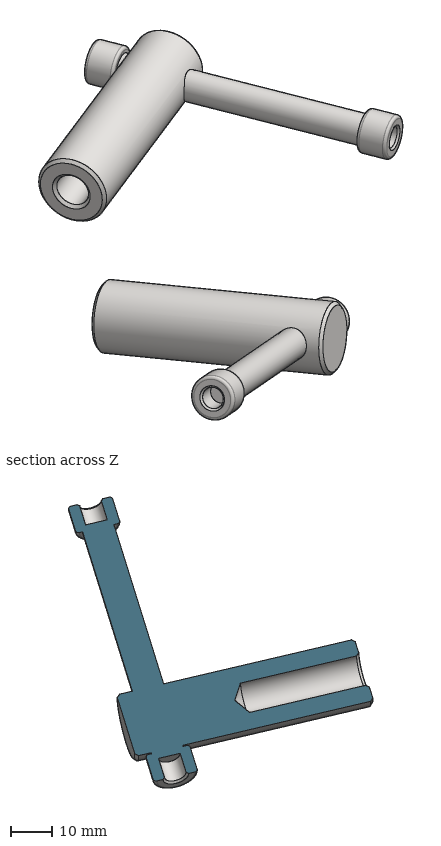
import cadquery as cq
import math

body_diameter = 18.0
body_length = 60.0
body_chamfer = 0.8
bore_diameter = 8.4
bore_mouth_diameter = 10.0
bore_depth = 30.0
bore_tip_angle = 118.0

handle_length = 80.0
rod_diameter = 8.0
cap_diameter = 11.2
cap_length = 7.8
cap_fillet = 0.8
socket_diameter = 5.4
socket_mouth_diameter = 6.4
socket_depth = 6.0

handle_inset = 8.0
body_back = handle_inset
body_front = body_back - body_length
body_offset = 8.0
handle_left = -(body_offset + body_diameter / 2)
handle_right = handle_left + handle_length


def cylinder(diameter, length, start, direction):
    return cq.Workplane(cq.Solid.makeCylinder(diameter / 2, length, cq.Vector(*start), cq.Vector(*direction)))


def cone(base_diameter, tip_diameter, length, start, direction):
    return cq.Workplane(
        cq.Solid.makeCone(base_diameter / 2, tip_diameter / 2, length, cq.Vector(*start), cq.Vector(*direction))
    )


def make_body():
    outer = cylinder(body_diameter, body_length, (0, body_front, 0), (0, 1, 0))
    return outer.edges("%CIRCLE").chamfer(body_chamfer)


def make_bore():
    """Blind hole with a 45-degree mouth and a drill-point conical bottom."""
    inward = (0, 1, 0)
    mouth_depth = (bore_mouth_diameter - bore_diameter) / 2
    tip_length = bore_diameter / 2 / math.tan(math.radians(bore_tip_angle / 2))
    hole = cylinder(bore_diameter, bore_depth, (0, body_front, 0), inward)
    mouth = cone(bore_mouth_diameter, bore_diameter, mouth_depth, (0, body_front, 0), inward)
    bottom = cone(bore_diameter, 0, tip_length, (0, body_front + bore_depth, 0), inward)
    return hole.union(mouth).union(bottom)


def make_cap(start_x):
    cap = cylinder(cap_diameter, cap_length, (start_x, 0, 0), (1, 0, 0))
    return cap.edges("%CIRCLE").fillet(cap_fillet)


def make_socket(end_x, inward_x):
    """Flat-bottomed hole with a 45-degree mouth in the end of a cap."""
    start = (end_x, 0, 0)
    inward = (inward_x, 0, 0)
    mouth_depth = (socket_mouth_diameter - socket_diameter) / 2
    hole = cylinder(socket_diameter, socket_depth, start, inward)
    mouth = cone(socket_mouth_diameter, socket_diameter, mouth_depth, start, inward)
    return hole.union(mouth)


rod = cylinder(rod_diameter, handle_length - cap_length, (handle_left + cap_length / 2, 0, 0), (1, 0, 0))

result = make_body().cut(make_bore()).union(rod)
result = result.union(make_cap(handle_left)).union(make_cap(handle_right - cap_length))
result = result.cut(make_socket(handle_left, 1)).cut(make_socket(handle_right, -1))